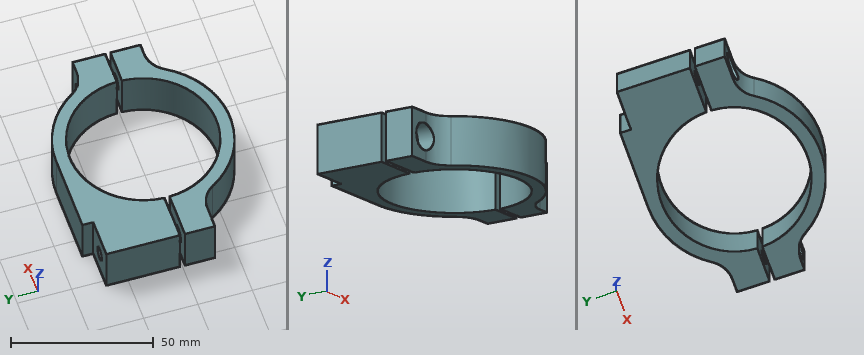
import cadquery as cq
import math

OUTER_DIAMETER = 64.0
OUTER_RADIUS = OUTER_DIAMETER / 2
BORE_DIAMETER = 54.0
HEIGHT = 18.0
LENGTH = 84.5
LEFT_X = -44.45
RIGHT_X = LEFT_X + LENGTH
HALF_GAP = 0.9

CAP_LUG_Y = -12.0
BASE_LUG_Y = 13.0
BLEND_RADIUS = 10.0

STEP_LENGTH = 14.9
STEP_DEPTH = 4.0

SCREW_XS = (-36.9, 34.05)
THREAD_DIAMETER = 5.0
CLEARANCE_DIAMETER = 6.0
HEAD_DIAMETER = 10.0
HEAD_SEAT_Y = -6.0


def blend_points(lug_y, side):
    """Start, middle and end of the fillet from a lug face to the ring; side is -1 (left) or 1 (right)."""
    direction = math.copysign(1, lug_y)
    center_y = lug_y + direction * BLEND_RADIUS
    center_distance = OUTER_RADIUS + BLEND_RADIUS
    center_x = side * math.sqrt(center_distance**2 - center_y**2)
    ring_ratio = OUTER_RADIUS / center_distance
    lug_end = (center_x, lug_y)
    ring_end = (center_x * ring_ratio, center_y * ring_ratio)
    bisector_x = (lug_end[0] + ring_end[0]) / 2 - center_x
    bisector_y = (lug_end[1] + ring_end[1]) / 2 - center_y
    scale = BLEND_RADIUS / math.hypot(bisector_x, bisector_y)
    middle = (center_x + bisector_x * scale, center_y + bisector_y * scale)
    return lug_end, middle, ring_end


def ring_point(start, end):
    """Point on the outer ring halfway between two points of it."""
    x, y = start[0] + end[0], start[1] + end[1]
    scale = OUTER_RADIUS / math.hypot(x, y)
    return x * scale, y * scale


def cut_bore(body):
    bore = cq.Workplane("XY").circle(BORE_DIAMETER / 2).extrude(HEIGHT)
    return body.cut(bore)


def cut_screw_holes(body, diameter, from_y, to_y):
    """Cut one round hole per screw between two Y positions."""
    holes = (
        cq.Workplane("XZ", origin=(0, to_y, 0))
        .pushPoints([(x, HEIGHT / 2) for x in SCREW_XS])
        .circle(diameter / 2)
        .extrude(to_y - from_y)
    )
    return body.cut(holes)


def make_base():
    """Back half: stepped block on the left, lug on the right, threaded holes."""
    lug_end, blend_middle, ring_end = blend_points(BASE_LUG_Y, 1)
    ring_top = (0, OUTER_RADIUS)
    step_x = LEFT_X + STEP_LENGTH
    step_y = OUTER_RADIUS - STEP_DEPTH
    body = (
        cq.Workplane("XY")
        .moveTo(LEFT_X, HALF_GAP)
        .lineTo(RIGHT_X, HALF_GAP)
        .lineTo(RIGHT_X, BASE_LUG_Y)
        .lineTo(*lug_end)
        .threePointArc(blend_middle, ring_end)
        .threePointArc(ring_point(ring_end, ring_top), ring_top)
        .lineTo(step_x, OUTER_RADIUS)
        .lineTo(step_x, step_y)
        .lineTo(LEFT_X, step_y)
        .close()
        .extrude(HEIGHT)
    )
    return cut_screw_holes(cut_bore(body), THREAD_DIAMETER, HALF_GAP, OUTER_RADIUS)


def make_cap():
    """Front half: a lug on each side with clearance holes and screw head recesses."""
    left_lug, left_middle, left_ring = blend_points(CAP_LUG_Y, -1)
    right_lug, right_middle, right_ring = blend_points(CAP_LUG_Y, 1)
    body = (
        cq.Workplane("XY")
        .moveTo(RIGHT_X, -HALF_GAP)
        .lineTo(LEFT_X, -HALF_GAP)
        .lineTo(LEFT_X, CAP_LUG_Y)
        .lineTo(*left_lug)
        .threePointArc(left_middle, left_ring)
        .threePointArc((0, -OUTER_RADIUS), right_ring)
        .threePointArc(right_middle, right_lug)
        .lineTo(RIGHT_X, CAP_LUG_Y)
        .close()
        .extrude(HEIGHT)
    )
    body = cut_screw_holes(cut_bore(body), CLEARANCE_DIAMETER, -OUTER_RADIUS, -HALF_GAP)
    return cut_screw_holes(body, HEAD_DIAMETER, -OUTER_RADIUS, HEAD_SEAT_Y)


base = make_base()
cap = make_cap()
result = cq.Compound.makeCompound([base.val(), cap.val()])